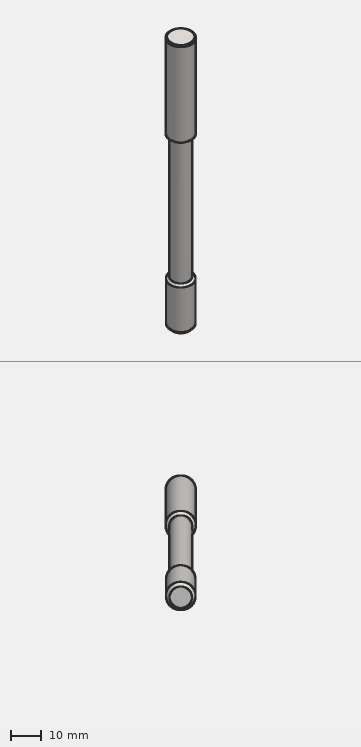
import cadquery as cq

total_length = 120.0
handle_diameter = 10.0
rod_diameter = 7.5
tip_diameter = 9.7

handle_length = 41.0
handle_top_chamfer = 0.5
handle_bottom_cone_height = 1.1

tip_length = 20.8
tip_top_cone_height = 0.8
tip_bottom_cone_height = 1.5
tip_end_diameter = 7.3

handle_base = total_length - handle_length
handle_radius = handle_diameter / 2
rod_radius = rod_diameter / 2
tip_radius = tip_diameter / 2
tip_end_radius = tip_end_diameter / 2


def revolve_about_z(outline):
    """Turn a closed outline of (radius, height) points about the Z axis."""
    return cq.Workplane("XZ").polyline(outline).close().revolve(360, (0, 0, 0), (0, 1, 0))


def make_handle():
    """Cylindrical handle, chamfered on top and tapering to the rod radius below."""
    return revolve_about_z([
        (0, handle_base),
        (rod_radius, handle_base),
        (handle_radius, handle_base + handle_bottom_cone_height),
        (handle_radius, total_length - handle_top_chamfer),
        (handle_radius - handle_top_chamfer, total_length),
        (0, total_length),
    ])


def make_rod():
    """Thin rod ending flush against the handle, with a larger tip tapered at both ends."""
    return revolve_about_z([
        (0, 0),
        (tip_end_radius, 0),
        (tip_radius, tip_bottom_cone_height),
        (tip_radius, tip_length - tip_top_cone_height),
        (rod_radius, tip_length),
        (rod_radius, handle_base),
        (0, handle_base),
    ])


handle = make_handle()
rod = make_rod()

result = cq.Compound.makeCompound([handle.val(), rod.val()])